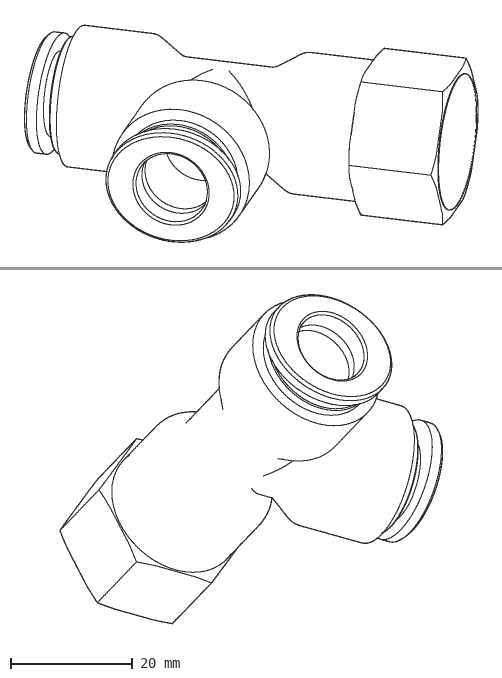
import cadquery as cq
import math


port_reach = 30.85
flange_thickness = 2.2
neck_length = 1.7
collar_length = 1.85
flange_inner = port_reach - flange_thickness
collar_face = flange_inner - neck_length
socket_face = collar_face - collar_length
overall_length = 70.9

socket_diameter = 23.5
pipe_diameter = 17.15
cone_start = 8.0
cone_end = 12.9
cone_blend_radius = 2.1

bore_diameter = 12.2
bore_floor = 13.5
bore_chamfer = 0.4

collar_diameter = 19.6
collar_chamfer = 0.2
sleeve_neck_diameter = 14.2
flange_width = 22.55
flange_height = collar_diameter
flange_chamfer = 0.5

hex_across_flats = 24.0
hex_across_corners = hex_across_flats / math.cos(math.radians(30))
hex_chamfer_diameter = 25.1
hex_chamfer_length = 0.4
end_pad_diameter = 22.55
end_pad_height = 0.15
hex_length = overall_length - port_reach - socket_face - end_pad_height

run_port = cq.Plane(origin=(0, 0, 0), xDir=(0, 1, 0), normal=(-1, 0, 0))
branch_port = cq.Plane(origin=(0, 0, 0), xDir=(1, 0, 0), normal=(0, -1, 0))
hex_end = cq.Plane(origin=(0, 0, 0), xDir=(0, 1, 0), normal=(1, 0, 0))
ports = [run_port, branch_port]


def make_limb(frame):
    """Pipe that widens through a blended cone to a round socket."""
    pipe_radius = pipe_diameter / 2
    socket_radius = socket_diameter / 2
    limb = (
        cq.Workplane("XZ")
        .moveTo(0, 0)
        .lineTo(pipe_radius, 0)
        .lineTo(pipe_radius, cone_start)
        .lineTo(socket_radius, cone_end)
        .lineTo(socket_radius, socket_face)
        .lineTo(0, socket_face)
        .close()
        .revolve(360, (0, 0), (0, 1))
    )
    margin = 0.7
    cone_rims = cq.selectors.BoxSelector(
        (-margin, -margin, cone_start - margin),
        (margin, margin, cone_end + margin),
    )
    limb = limb.edges(cone_rims).fillet(cone_blend_radius)
    return limb.val().moved(frame.location)


def make_bore(frame, start, end):
    """Cylinder to cut away, between two distances from the tee centre."""
    return (
        cq.Workplane(frame)
        .workplane(offset=start)
        .circle(bore_diameter / 2)
        .extrude(end - start)
    )


def make_tee():
    """Three limbs in one piece, with a blind bore in each of the two ports."""
    tee = cq.Workplane(make_limb(hex_end))
    for frame in ports:
        tee = tee.union(cq.Workplane(make_limb(frame)))
    for frame in ports:
        tee = tee.cut(make_bore(frame, bore_floor, socket_face))
    return tee


def make_collar(frame):
    """Ring on the face of a socket, with its outer rim chamfered."""
    outer_face = cq.selectors.DirectionMinMaxSelector(frame.zDir, True)
    disc = (
        cq.Workplane(frame)
        .workplane(offset=socket_face)
        .circle(collar_diameter / 2)
        .extrude(collar_length)
        .faces(outer_face)
        .chamfer(collar_chamfer)
    )
    return disc.cut(make_bore(frame, socket_face, collar_face))


def make_release_sleeve(frame):
    """Round neck with an oval push flange and a chamfered bore."""
    outer_face = cq.selectors.DirectionMinMaxSelector(frame.zDir, True)
    flange = (
        cq.Workplane(frame)
        .workplane(offset=flange_inner)
        .ellipse(flange_width / 2, flange_height / 2)
        .extrude(flange_thickness)
        .faces(outer_face)
        .chamfer(flange_chamfer)
    )
    neck = (
        cq.Workplane(frame)
        .workplane(offset=collar_face)
        .circle(sleeve_neck_diameter / 2)
        .extrude(neck_length)
    )
    sleeve = flange.union(neck).cut(make_bore(frame, collar_face, port_reach))
    bore_rim = sleeve.faces(outer_face).edges(cq.selectors.RadiusNthSelector(0))
    return bore_rim.chamfer(bore_chamfer)


def make_hex_fitting():
    """Hexagon with chamfered corners at both ends and a thin round pad on its end face."""
    hexagon = (
        cq.Workplane(hex_end)
        .workplane(offset=socket_face)
        .polygon(6, hex_across_corners)
        .extrude(hex_length)
    )
    corner_chamfer = (hex_across_corners - hex_chamfer_diameter) / 2
    turned_blank = (
        cq.Workplane(hex_end)
        .workplane(offset=socket_face)
        .circle(hex_across_corners / 2)
        .extrude(hex_length)
        .faces("<X")
        .chamfer(hex_chamfer_length, corner_chamfer)
        .faces(">X")
        .chamfer(hex_chamfer_length, corner_chamfer)
    )
    end_pad = (
        cq.Workplane(hex_end)
        .workplane(offset=socket_face + hex_length)
        .circle(end_pad_diameter / 2)
        .extrude(end_pad_height)
    )
    return hexagon.intersect(turned_blank).union(end_pad)


tee_body = make_tee()
collars = [make_collar(frame) for frame in ports]
release_sleeves = [make_release_sleeve(frame) for frame in ports]
hex_fitting = make_hex_fitting()

result = cq.Compound.makeCompound(
    [
        tee_body.val(),
        *[collar.val() for collar in collars],
        *[sleeve.val() for sleeve in release_sleeves],
        hex_fitting.val(),
    ]
)